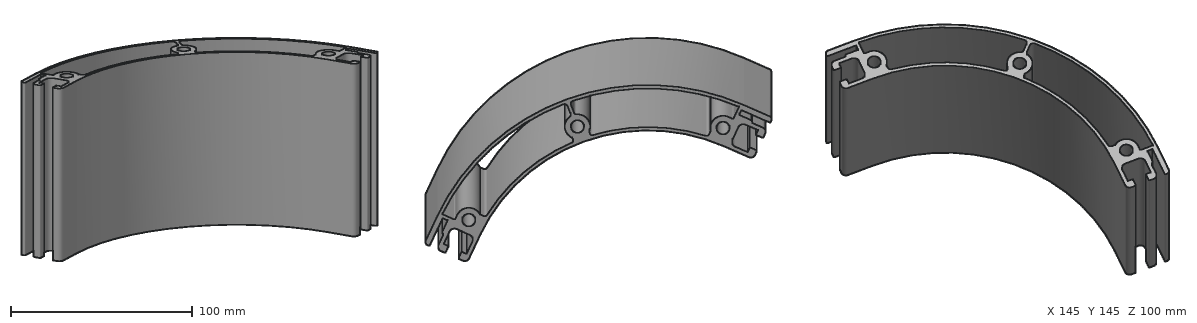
import cadquery as cq
import math


LENGTH = 100.0
OUTER_RADIUS = 127.5
INNER_RADIUS = 101.5
STRAIGHT = 17.5
WALL = 2.0

LIP_THICKNESS = 3.2
LIP_TIP_RADIUS = 2.0
SLOT_WIDTH = 3.0
STEP_DEPTH = 1.2
STEP_HEIGHT = 8.9

CHANNEL_WIDTH = 13.8
CHANNEL_FLOOR = 15.0
CHANNEL_CORNER_RADIUS = 3.0
MOUTH_WIDTH = 7.8
MOUTH_DEPTH = 4.4
FOOT_RADIUS = 2.7

HOLE_DIAMETER = 7.2
BOSS_RADIUS = 7.0
END_BOSS_OFFSET = 5.0
END_BLOCK_HEIGHT = 28.0
RIB_BLEND_RADIUS = 2.0
EDGE_RADIUS = 0.5
WEB_WIDTH = 10.0
BOSS_BLEND_RADIUS = 1.5
WEB_BLEND_RADIUS = 1.2
BLOCK_BLEND_RADIUS = 1.5

END_Y = -STRAIGHT
BLOCK_LEFT = -OUTER_RADIUS + LIP_THICKNESS + SLOT_WIDTH
FOOT_LEFT = BLOCK_LEFT + STEP_DEPTH
MID_X = (FOOT_LEFT - INNER_RADIUS) / 2
MOUTH_LEFT = MID_X - MOUTH_WIDTH / 2
MOUTH_RIGHT = MID_X + MOUTH_WIDTH / 2
BLOCK_TOP = END_Y + END_BLOCK_HEIGHT
OUTER_WALL_INSIDE = OUTER_RADIUS - WALL
INNER_WALL_INSIDE = INNER_RADIUS + WALL
MID_TURN = -45.0


def box(x_min, x_max, y_min, y_max):
    """Full-length block over a rectangle of the cross-section."""
    return (
        cq.Workplane("XY")
        .center((x_min + x_max) / 2, (y_min + y_max) / 2)
        .rect(x_max - x_min, y_max - y_min)
        .extrude(LENGTH)
    )


def cylinder(x, y, radius):
    return cq.Workplane("XY").center(x, y).circle(radius).extrude(LENGTH)


def fillet_at(body, points, radius):
    """Round the lengthwise edges that stand nearest to the given section points."""
    for x, y in points:
        edge = cq.NearestToPointSelector((x, y, LENGTH / 2))
        body = body.edges("|Z").edges(edge).fillet(radius)
    return body


def curved_wall(outside, inside):
    """Quarter ring between two radii, from the -X axis round to the +Y axis."""
    diagonal = math.sqrt(0.5)
    return (
        cq.Workplane("XY")
        .moveTo(-outside, 0)
        .threePointArc((-outside * diagonal, outside * diagonal), (0, outside))
        .lineTo(0, inside)
        .threePointArc((-inside * diagonal, inside * diagonal), (-inside, 0))
        .close()
        .extrude(LENGTH)
    )


def end_block():
    """Lip, rib, boss and C-channel at the -Y end of the bend."""
    lip = box(-OUTER_RADIUS, -OUTER_RADIUS + LIP_THICKNESS, END_Y, 0)
    lip = fillet_at(lip, [(-OUTER_RADIUS, END_Y)], LIP_TIP_RADIUS)
    lip = fillet_at(lip, [(-OUTER_RADIUS + LIP_THICKNESS, END_Y)], EDGE_RADIUS)

    foot = box(FOOT_LEFT, -INNER_RADIUS, END_Y, 0)
    foot = fillet_at(foot, [(FOOT_LEFT, END_Y), (-INNER_RADIUS, END_Y)], FOOT_RADIUS)
    tongue = box(BLOCK_LEFT, MID_X - CHANNEL_WIDTH / 2, END_Y + STEP_HEIGHT, 0)
    slope_corner = cq.NearestToPointSelector((BLOCK_LEFT, END_Y + STEP_HEIGHT, LENGTH / 2))
    tongue = tongue.edges("|Z").edges(slope_corner).chamfer(STEP_DEPTH)
    rib = box(-OUTER_RADIUS + WALL, MID_X, 0, WALL)

    boss = cylinder(MID_X, END_BOSS_OFFSET, BOSS_RADIUS)
    boss_base = box(MID_X - BOSS_RADIUS, MID_X, 0, END_BOSS_OFFSET)
    shoulder = box(MID_X, -INNER_RADIUS - WALL / 2, 0, BLOCK_TOP)
    block = foot
    for piece in (lip, tongue, rib, boss, boss_base, shoulder):
        block = block.union(piece)
    block = fillet_at(block, [(MID_X - BOSS_RADIUS, WALL)], EDGE_RADIUS)
    block = block.cut(channel())
    mouth_corners = [(MOUTH_LEFT, END_Y), (MOUTH_RIGHT, END_Y)]
    return fillet_at(block, mouth_corners, EDGE_RADIUS)


def channel():
    """Space inside the C-channel, with its narrower mouth at the end face."""
    left = MID_X - CHANNEL_WIDTH / 2
    right = MID_X + CHANNEL_WIDTH / 2
    floor = END_Y + CHANNEL_FLOOR
    space = box(left, right, END_Y + MOUTH_DEPTH, floor)
    space = fillet_at(space, [(left, floor), (right, floor)], CHANNEL_CORNER_RADIUS)
    mouth = box(MOUTH_LEFT, MOUTH_RIGHT, END_Y, floor - CHANNEL_CORNER_RADIUS)
    return space.union(mouth)


def middle_boss():
    """Screw boss on the -X axis, with a web to the inner wall and a rib to the outer wall."""
    boss = cylinder(MID_X, 0, BOSS_RADIUS)
    rib = box(-OUTER_WALL_INSIDE - WALL / 2, MID_X, -WALL / 2, WALL / 2)
    web = box(MID_X, -INNER_RADIUS - WALL / 2, -WEB_WIDTH / 2, WEB_WIDTH / 2)
    return boss.union(rib).union(web)


def on_circle(radius, y):
    """Point with the given Y on the -X side of a circle about the origin."""
    return -math.sqrt(radius ** 2 - y ** 2), y


def turned(point, angle):
    """Section point turned about the origin by an angle in degrees."""
    x, y = point
    cosine = math.cos(math.radians(angle))
    sine = math.sin(math.radians(angle))
    return x * cosine - y * sine, x * sine + y * cosine


def mirrored_pair(point):
    """A point beside the -X axis and its twin across that axis, both turned to the middle boss."""
    x, y = point
    return [turned((x, side * y), MID_TURN) for side in (-1, 1)]


near_end = end_block()
far_end = near_end.mirror(cq.Vector(1, 1, 0))

body = curved_wall(OUTER_RADIUS, OUTER_WALL_INSIDE)
body = body.union(curved_wall(INNER_WALL_INSIDE, INNER_RADIUS))
body = body.union(near_end).union(far_end)
body = body.union(middle_boss().rotate((0, 0, 0), (0, 0, 1), MID_TURN))

rib_to_wall = on_circle(OUTER_WALL_INSIDE, WALL / 2)
rib_to_boss = (MID_X + on_circle(BOSS_RADIUS, WALL / 2)[0], WALL / 2)
web_to_wall = on_circle(INNER_WALL_INSIDE, WEB_WIDTH / 2)
body = fillet_at(body, mirrored_pair(rib_to_wall), RIB_BLEND_RADIUS)
body = fillet_at(body, mirrored_pair(rib_to_boss), BOSS_BLEND_RADIUS)
body = fillet_at(body, mirrored_pair(web_to_wall), WEB_BLEND_RADIUS)

shoulder_x, shoulder_y = on_circle(INNER_WALL_INSIDE, BLOCK_TOP)
shoulder_corners = [(shoulder_x, shoulder_y), (-shoulder_y, -shoulder_x)]
body = fillet_at(body, shoulder_corners, BLOCK_BLEND_RADIUS)

hole_centres = [
    (MID_X, END_BOSS_OFFSET),
    (-END_BOSS_OFFSET, -MID_X),
    turned((MID_X, 0), MID_TURN),
]
for hole_x, hole_y in hole_centres:
    body = body.cut(cylinder(hole_x, hole_y, HOLE_DIAMETER / 2))

result = body